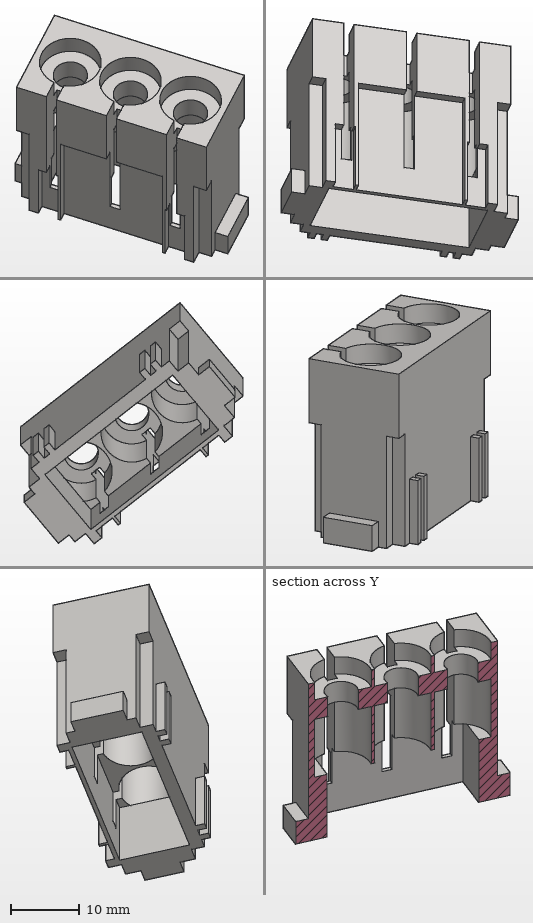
import cadquery as cq

overall_length = 34.0
overall_depth = 16.05
body_height = 27.5
end_tab_length = 2.0
rear_rib_depth = 1.35
body_length = overall_length - 2 * end_tab_length
body_depth = overall_depth - rear_rib_depth
front = -body_depth / 2
back = body_depth / 2

chamber_pitch = 9.5
chamber_diameter = 9.0
bore_diameter = 5.0
counterbore_depth = 3.0
bore_bottom_depth = 6.5
chamber_bottom_depth = 16.5
counterbore_floor = body_height - counterbore_depth
bore_bottom = body_height - bore_bottom_depth

cavity_wall = 2.0
cavity_end_wall = 3.0
cavity_length = body_length - 2 * cavity_end_wall
cavity_depth = body_depth - 2 * cavity_wall
cavity_height = body_height - chamber_bottom_depth

slot_width = 1.55
slot_depth = 4.0
slot_sill_height = 5.0
slot_height = body_height - slot_sill_height

notch_size = 2.0
notch_height = 17.5
recess_depth = 1.35
center_recess_width = 16.05
side_recess_width = 3.05
side_recess_height = 10.0
recess_rib_width = 0.45

end_tab_height = 4.0
left_tab_width = 6.0
right_tab_width = 8.0

rear_rib_width = 1.0
rear_rib_height = 10.0
rear_rib_spacing = 2.0
rear_rib_pair_center = 10.0


def block(x_center, y_center, bottom, length, depth, height):
    """Upright box placed by the center of its bottom face."""
    box = cq.Workplane("XY").box(length, depth, height, centered=(True, True, False))
    return box.translate((x_center, y_center, bottom))


def front_cutter(x_center, bottom, width, depth, height):
    """Box that reaches into the body from its front face."""
    return block(x_center, front + depth / 2, bottom, width, depth, height)


def round_hole(x_center, diameter, bottom, top):
    """Vertical cylinder used to cut one chamber step."""
    return cq.Workplane("XY", origin=(x_center, 0, bottom)).circle(diameter / 2).extrude(top - bottom)


result = block(0, 0, 0, body_length, body_depth, body_height)

for x_side in (-1, 1):
    for y_side in (-1, 1):
        notch_x = x_side * (body_length - notch_size) / 2
        notch_y = y_side * (body_depth - notch_size) / 2
        result = result.cut(block(notch_x, notch_y, 0, notch_size, notch_size, notch_height))

result = result.cut(front_cutter(0, 0, center_recess_width, recess_depth, notch_height))
side_recess_x = (center_recess_width + side_recess_width) / 2 + recess_rib_width
for x in (-side_recess_x, side_recess_x):
    result = result.cut(front_cutter(x, 0, side_recess_width, recess_depth, side_recess_height))

result = result.cut(block(0, 0, 0, cavity_length, cavity_depth, cavity_height))

for x in (-chamber_pitch, 0, chamber_pitch):
    result = result.cut(round_hole(x, chamber_diameter, counterbore_floor, body_height))
    result = result.cut(round_hole(x, bore_diameter, bore_bottom, counterbore_floor))
    result = result.cut(round_hole(x, chamber_diameter, cavity_height, bore_bottom))
    result = result.cut(front_cutter(x, slot_sill_height, slot_width, slot_depth, slot_height))

end_tab_x = (body_length + end_tab_length) / 2
for x, width in ((-end_tab_x, left_tab_width), (end_tab_x, right_tab_width)):
    result = result.union(block(x, 0, 0, end_tab_length, width, end_tab_height))

rear_rib_y = back + rear_rib_depth / 2
for pair_x in (-rear_rib_pair_center, rear_rib_pair_center):
    for offset in (-rear_rib_spacing / 2, rear_rib_spacing / 2):
        rib = block(pair_x + offset, rear_rib_y, 0, rear_rib_width, rear_rib_depth, rear_rib_height)
        result = result.union(rib)